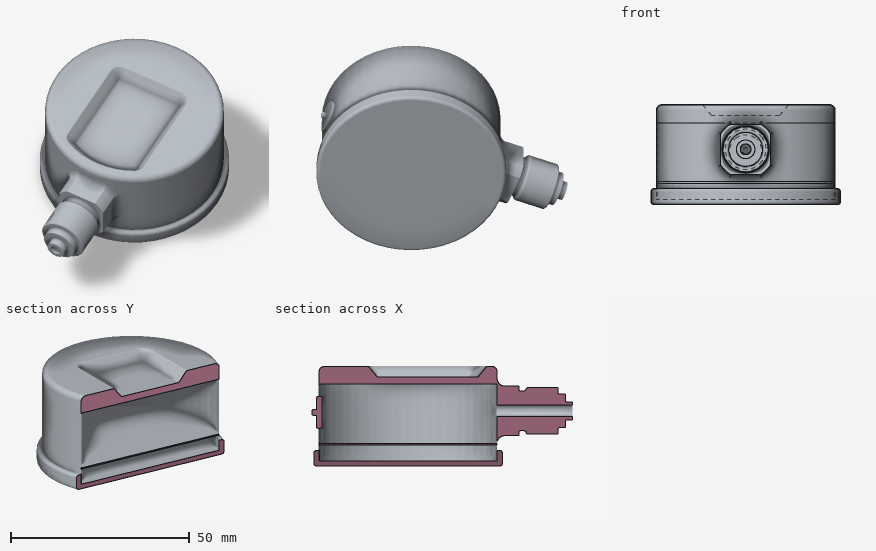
import cadquery as cq
import math


CASE_RADIUS = 25.0
CASE_TOP = 28.0
CASE_WALL = 0.2
CASE_TOP_ROUND = 1.6
CAVITY_TOP = 22.86

POCKET_DEPTH = 3.0
POCKET_TAPER = 40.0
POCKET_WIDTH = 24.1
POCKET_BACK_Y = 11.1
POCKET_FRONT_RADIUS = 22.0
POCKET_CORNER_ROUND = 3.0
POCKET_EDGE_ROUND = 0.45

BEZEL_RADIUS = 26.5
BEZEL_HEIGHT = 4.5
BEZEL_FACE_THICKNESS = 1.5
BEZEL_EDGE_ROUND = 0.9

DIAL_BOTTOM = 5.93
DIAL_THICKNESS = 0.5
DIAL_CLEARANCE = 0.05

STEM_Z = 15.5
WRENCH_FLATS = 14.0
WRENCH_ROUND_RADIUS = 8.25
WRENCH_END = 31.0
WRENCH_ROOT_ROUND = 2.0
NECK_RADIUS = 5.65
NECK_FLANGE_ROUND = 0.35
NECK_THREAD_ROUND = 0.45
THREAD_START = 32.9
THREAD_END = 42.0
THREAD_RADIUS = 13.157 / 2
THREAD_START_CHAMFER = 0.4
THREAD_END_CHAMFER = 0.25
SPIGOT_RADIUS = 4.75
SPIGOT_END = 44.0
SPIGOT_ROOT_ROUND = 0.35
TIP_RADIUS = 2.6
TIP_END = 46.0
TIP_ROOT_ROUND = 0.3
BORE_RADIUS = 1.5

PLUG_Z = 15.05
PLUG_RADIUS = 4.5
PLUG_INNER_Y = 24.0
PLUG_FACE_RADIUS = 25.7
PLUG_EDGE_ROUND = 0.4
NIPPLE_RADIUS = 0.9
NIPPLE_END_Y = 26.94
NIPPLE_EDGE_ROUND = 0.5

CAVITY_RADIUS = CASE_RADIUS - CASE_WALL


def y_cylinder(radius, y_start, y_end, z):
    """Cylinder along +Y, centred on X = 0 at height z."""
    plane = cq.Workplane("XZ", origin=(0, y_start, z))
    return plane.circle(radius).extrude(y_start - y_end)


def case_blank():
    blank = cq.Workplane("XY").workplane(offset=BEZEL_FACE_THICKNESS)
    blank = blank.circle(CASE_RADIUS).extrude(CASE_TOP - BEZEL_FACE_THICKNESS)
    return blank.faces(">Z").edges().fillet(CASE_TOP_ROUND)


def wrench_block():
    """Square bar with its four corners turned round, from the case axis to the wrench end."""
    plane = cq.Workplane("XZ", origin=(0, 0, STEM_Z))
    square = plane.rect(WRENCH_FLATS, WRENCH_FLATS).extrude(WRENCH_END)
    round_bar = plane.circle(WRENCH_ROUND_RADIUS).extrude(WRENCH_END)
    return square.intersect(round_bar)


def arc_middle(center_r, center_y, radius, angle):
    """Point on a root round of the turned profile, at the given angle about its centre."""
    turn = math.radians(angle)
    return (center_r + radius * math.cos(turn), center_y + radius * math.sin(turn))


def turned_connection():
    """Neck, thread, spigot and tip, turned about the connection axis."""
    flange_r = NECK_RADIUS + NECK_FLANGE_ROUND
    flange_y = -WRENCH_END - NECK_FLANGE_ROUND
    relief_r = NECK_RADIUS + NECK_THREAD_ROUND
    relief_y = -THREAD_START + NECK_THREAD_ROUND
    spigot_r = SPIGOT_RADIUS + SPIGOT_ROOT_ROUND
    spigot_y = -THREAD_END - SPIGOT_ROOT_ROUND
    tip_r = TIP_RADIUS + TIP_ROOT_ROUND
    tip_y = -SPIGOT_END - TIP_ROOT_ROUND
    case_side = 135
    tip_side = 225
    profile = (
        cq.Workplane("XY")
        .moveTo(0, -WRENCH_END)
        .lineTo(flange_r, -WRENCH_END)
        .threePointArc(arc_middle(flange_r, flange_y, NECK_FLANGE_ROUND, case_side), (NECK_RADIUS, flange_y))
        .lineTo(NECK_RADIUS, relief_y)
        .threePointArc(arc_middle(relief_r, relief_y, NECK_THREAD_ROUND, tip_side), (relief_r, -THREAD_START))
        .lineTo(THREAD_RADIUS - THREAD_START_CHAMFER, -THREAD_START)
        .lineTo(THREAD_RADIUS, -THREAD_START - THREAD_START_CHAMFER)
        .lineTo(THREAD_RADIUS, -THREAD_END + THREAD_END_CHAMFER)
        .lineTo(THREAD_RADIUS - THREAD_END_CHAMFER, -THREAD_END)
        .lineTo(spigot_r, -THREAD_END)
        .threePointArc(arc_middle(spigot_r, spigot_y, SPIGOT_ROOT_ROUND, case_side), (SPIGOT_RADIUS, spigot_y))
        .lineTo(SPIGOT_RADIUS, -SPIGOT_END)
        .lineTo(tip_r, -SPIGOT_END)
        .threePointArc(arc_middle(tip_r, tip_y, TIP_ROOT_ROUND, case_side), (TIP_RADIUS, tip_y))
        .lineTo(TIP_RADIUS, -TIP_END)
        .lineTo(0, -TIP_END)
        .close()
    )
    return profile.revolve(360, (0, 0, 0), (0, 1, 0)).translate((0, 0, STEM_Z))


def pocket_cutter():
    """Tapered pocket: straight sides and back, front wall concentric with the case."""
    half_width = POCKET_WIDTH / 2
    corner_y = -math.sqrt(POCKET_FRONT_RADIUS**2 - half_width**2)
    outline = (
        cq.Sketch()
        .segment((half_width, corner_y), (half_width, POCKET_BACK_Y))
        .segment((-half_width, POCKET_BACK_Y))
        .segment((-half_width, corner_y))
        .arc((-half_width, corner_y), (0, -POCKET_FRONT_RADIUS), (half_width, corner_y))
        .assemble()
        .vertices()
        .fillet(POCKET_CORNER_ROUND)
    )
    top = cq.Workplane("XY").workplane(offset=CASE_TOP)
    cutter = top.placeSketch(outline).extrude(-POCKET_DEPTH, taper=POCKET_TAPER)
    return cutter.faces("<Z").edges().fillet(POCKET_EDGE_ROUND)


def cut_pocket(body):
    body = body.cut(pocket_cutter())
    mouth = body.faces(">Z").val().innerWires()[0]
    return body.newObject(mouth.Edges()).fillet(POCKET_EDGE_ROUND)


def make_case():
    body = case_blank().union(wrench_block())
    root_zone = cq.selectors.BoxSelector(
        (-WRENCH_FLATS, -CASE_RADIUS, STEM_Z - WRENCH_ROUND_RADIUS),
        (WRENCH_FLATS, -CASE_RADIUS + WRENCH_ROOT_ROUND, STEM_Z + WRENCH_ROUND_RADIUS),
    )
    body = body.edges(root_zone).fillet(WRENCH_ROOT_ROUND)
    body = cut_pocket(body.union(turned_connection()))
    cavity = cq.Workplane("XY").circle(CAVITY_RADIUS).extrude(CAVITY_TOP)
    body = body.cut(cavity)
    body = body.cut(y_cylinder(BORE_RADIUS, -TIP_END, 0, STEM_Z))
    return body.cut(y_cylinder(PLUG_RADIUS, 0, NIPPLE_END_Y, PLUG_Z))


def make_bezel():
    cap = cq.Workplane("XY").circle(BEZEL_RADIUS).extrude(BEZEL_HEIGHT)
    cap = cap.edges().fillet(BEZEL_EDGE_ROUND)
    seat = cq.Workplane("XY").workplane(offset=BEZEL_FACE_THICKNESS)
    return cap.cut(seat.circle(CASE_RADIUS).extrude(BEZEL_HEIGHT))


def make_dial():
    plane = cq.Workplane("XY").workplane(offset=DIAL_BOTTOM)
    return plane.circle(CAVITY_RADIUS - DIAL_CLEARANCE).extrude(DIAL_THICKNESS)


def make_plug():
    disk = y_cylinder(PLUG_RADIUS, PLUG_INNER_Y, NIPPLE_END_Y, PLUG_Z)
    disk = disk.intersect(cq.Workplane("XY").circle(PLUG_FACE_RADIUS).extrude(CASE_TOP))
    disk = disk.faces(">Y").edges().fillet(PLUG_EDGE_ROUND)
    nipple = y_cylinder(NIPPLE_RADIUS, PLUG_INNER_Y, NIPPLE_END_Y, PLUG_Z)
    nipple = nipple.faces(">Y").edges().fillet(NIPPLE_EDGE_ROUND)
    return disk.union(nipple)


case = make_case()
bezel = make_bezel()
dial = make_dial()
plug = make_plug()

result = cq.Compound.makeCompound([body.solids().val() for body in (case, bezel, dial, plug)])